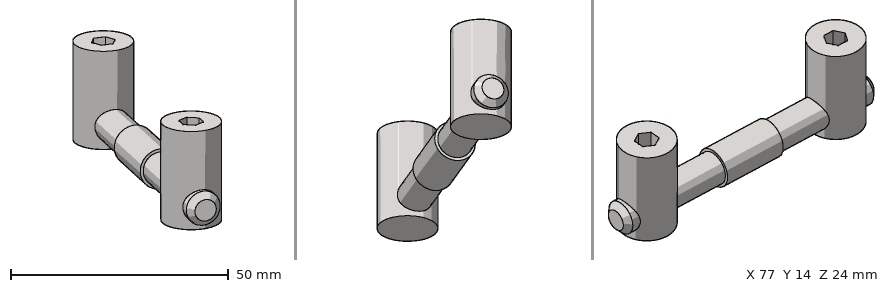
import cadquery as cq

rod_length = 77.0
rod_diameter = 8.3
tip_chamfer = 1.55

sleeve_length = 17.1
sleeve_diameter = 9.8

post_diameter = 14.0
post_height = 24.0
post_spacing = 58.0
rod_height = 5.5

socket_corner_diameter = 5.8
socket_depth = 5.0


def cylinder_along_x(diameter, length):
    """Cylinder on the rod axis, centred between the posts."""
    return (
        cq.Workplane("YZ", origin=(-length / 2, 0, rod_height))
        .circle(diameter / 2)
        .extrude(length)
    )


def post(x):
    return cq.Workplane("XY").center(x, 0).circle(post_diameter / 2).extrude(post_height)


def socket(x, turn):
    """Hexagonal socket; at zero turn its corners point along X."""
    return (
        cq.Workplane("XY")
        .polygon(6, socket_corner_diameter)
        .extrude(-socket_depth)
        .rotate((0, 0, 0), (0, 0, 1), turn)
        .translate((x, 0, post_height))
    )


rod = cylinder_along_x(rod_diameter, rod_length).faces("<X or >X").chamfer(tip_chamfer)
result = rod.union(cylinder_along_x(sleeve_diameter, sleeve_length))

for post_x, socket_turn in ((-post_spacing / 2, 30), (post_spacing / 2, 0)):
    result = result.union(post(post_x)).cut(socket(post_x, socket_turn))